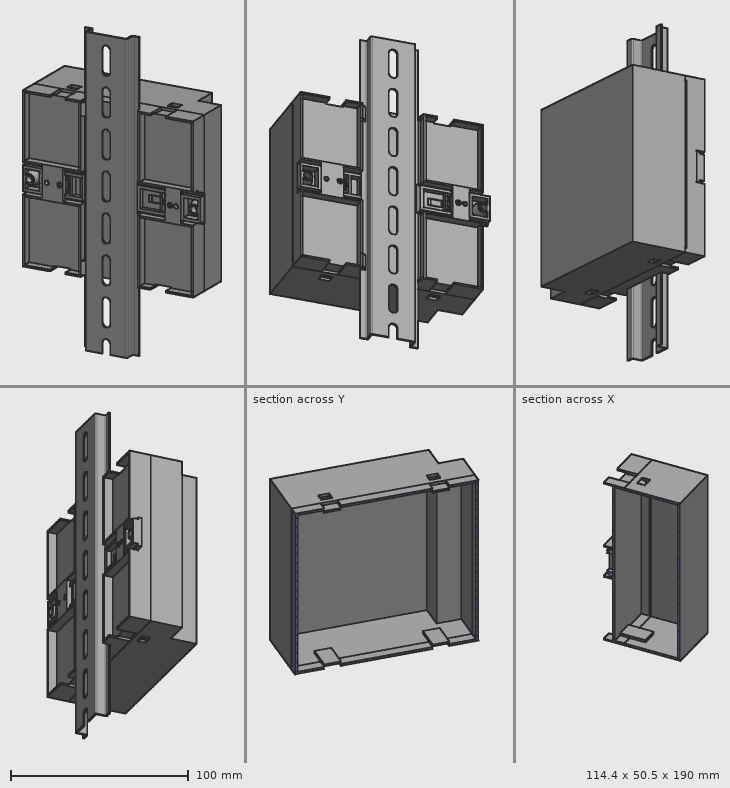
import cadquery as cq
import math


overall_width = 114.4
case_width = 110.0
case_height = 105.0
base_depth = 13.1
case_depth = 48.5
wall = 1.7
step_width = 14.8
step_depth = 16.0
half_width = case_width / 2
half_height = case_height / 2

rail_length = 190
rail_width = 35.0
rail_depth = 7.5
rail_channel_width = 27.0
rail_thickness = 1.0
rail_bend = 0.8
rail_overhang = 2.0
rail_slot_width = 5.22
rail_slot_length = 18.0
rail_slot_count = 8
rail_first_slot = 15.0
rail_slot_pitch = (rail_length - rail_first_slot) / (rail_slot_count - 1)

floor_y = rail_depth - rail_overhang
rim = 1.1
seat_left = -17.7
seat_right = 17.7
seat_right_mouth = 19.2
right_pocket_start = 20.7
band_half = 10.6
channel_half = band_half - rim
hook_reach = 3.0
hook_length = 8.2
hook_tip_y = 2.7
hook_top_y = floor_y - rail_thickness
groove_width = 1.1
groove_depth = 1.1
groove_end_gap = 2.8

snap_offset = 32.5
tongue_width = 10.0
tongue_thickness = 1.5
tongue_top = 23.2
window_width = 6.5
window_bottom = 17.0
window_height = 5.0
catch_width = 4.8
catch_height = 4.5
catch_reach = 1.3

left_strap = (-42.5, -29.0)
right_strap = (36.9, 47.0)
left_strap_holes = (-39.5, -31.4)
right_strap_holes = (44.0, 40.0)
hole_diameter = 2.7
step_bore_diameter = 3.0
step_bore_depth = 1.0
step_hole_diameter = 1.7

slider_rear = 0.28
nose_frame_rear = 1.9
plate_rear = 3.2
plate_half = 9.0
frame_half = 7.8
pocket_half = 5.9
end_window_start = 1.5
end_window_stop = 10.6
eye_offset = 4.0
eye_base_radius = 5.0
eye_top_radius = 3.2
eye_hole_radius = 2.0
spring_thickness = 0.8
left_end = -half_width
left_spring_window = (-29.0, -25.5)
left_nose_window = (-24.0, -18.8)
right_end = overall_width - half_width
right_nose = 16.3
right_nose_rear = 17.9
right_nose_pocket = (20.0, 32.9)
right_pocket_floor = 4.8
right_spring_window = (34.0, 36.9)
tool_slot = (23.8, 32.0)
tool_slot_half = 2.0
tool_ledge_width = 1.7
tool_ledge_depth = 0.4


def block(x0, x1, y0, y1, z0, z1):
    """Axis-aligned block between pairs of coordinates given in any order."""
    size = (abs(x1 - x0), abs(y1 - y0), abs(z1 - z0))
    return cq.Workplane("XY").box(*size).translate(((x0 + x1) / 2, (y0 + y1) / 2, (z0 + z1) / 2))


def prism(points, z0, z1):
    """Outline in X and Y, extruded from z0 to z1."""
    return cq.Workplane("XY").workplane(offset=z0).polyline(points).close().extrude(z1 - z0)


def along_y(x, radius, y0, y1):
    """Round bar parallel to Y on the middle height."""
    return cq.Workplane("XZ", origin=(x, y0, 0)).circle(radius).extrude(y0 - y1)


def make_cover():
    def outline(inset, y0):
        right = half_width - inset
        top = case_depth - inset
        return [
            (-right, y0),
            (right, y0),
            (right, top - step_depth),
            (right - step_width, top - step_depth),
            (right - step_width, top),
            (-right, top),
        ]

    cover = prism(outline(0, base_depth), -half_height, half_height)
    cover = cover.cut(prism(outline(wall, base_depth), -half_height + wall, half_height - wall))
    half = window_width / 2
    window_top = window_bottom + window_height
    for x in (-snap_offset, snap_offset):
        window = block(x - half, x + half, window_bottom, window_top, -half_height, half_height)
        cover = cover.cut(window)
    return cover


def make_tongue(x):
    """Snap tongue on the +Z side, with a sloped catch that enters the cover window."""
    face = half_height - wall
    half = tongue_width / 2
    tongue = block(x - half, x + half, floor_y, tongue_top, face - tongue_thickness, face)
    catch = (
        cq.Workplane("YZ", origin=(x - catch_width / 2, 0, 0))
        .moveTo(window_bottom, face)
        .lineTo(window_bottom, face + catch_reach)
        .lineTo(window_bottom + catch_height, face)
        .close()
        .extrude(catch_width)
    )
    return tongue.union(catch)


def make_strap(strap, holes):
    """Bridge over a slider, with one plain and one stepped hole."""
    plain_x, stepped_x = holes
    bridge = block(*strap, 0, plate_rear, -channel_half, channel_half)
    bridge = bridge.cut(along_y(plain_x, hole_diameter / 2, 0, plate_rear))
    bridge = bridge.cut(along_y(stepped_x, step_hole_diameter / 2, 0, plate_rear))
    return bridge.cut(along_y(stepped_x, step_bore_diameter / 2, 0, step_bore_depth))


def make_base():
    base = block(-half_width, half_width, 0, base_depth, -half_height, half_height)
    inner_x = half_width - wall
    inner_z = half_height - wall
    base = base.cut(block(-inner_x, inner_x, floor_y + wall, base_depth, -inner_z, inner_z))

    end_profile = [(seat_left, 0), (seat_left, floor_y), (seat_right, floor_y), (seat_right_mouth, 0)]
    base = base.cut(prism(end_profile, -half_height, half_height))
    base = base.cut(block(seat_left, seat_right_mouth, 0, floor_y, -inner_z, inner_z))

    for side in (-1, 1):
        z_range = (side * band_half, side * (half_height - rim))
        base = base.cut(block(-half_width + rim, seat_left - rim, 0, floor_y, *z_range))
        base = base.cut(block(right_pocket_start, half_width - rim, 0, floor_y, *z_range))

    for x0, x1 in ((-half_width, seat_left), (seat_right, half_width)):
        base = base.cut(block(x0, x1, 0, floor_y, -channel_half, channel_half))
    base = base.union(make_strap(left_strap, left_strap_holes))
    base = base.union(make_strap(right_strap, right_strap_holes))

    hook = [
        (seat_left, 0),
        (seat_left + hook_reach, hook_tip_y),
        (seat_left + hook_reach, hook_top_y),
        (seat_left, hook_top_y),
    ]
    hook_end = half_height - rim
    base = base.union(prism(hook, hook_end - hook_length, hook_end))
    base = base.union(prism(hook, -hook_end, hook_length - hook_end))

    for x in (-snap_offset, snap_offset):
        half = tongue_width / 2
        for side in (-1, 1):
            face = side * (half_height - wall)
            base = base.cut(block(x - half, x + half, 0, base_depth, face, side * half_height))
        tongue = make_tongue(x)
        base = base.union(tongue).union(tongue.mirror("XY"))

    groove_half = half_height - groove_end_gap
    groove_x = (-half_width, groove_depth - half_width)
    groove_y = (base_depth - groove_width, base_depth)
    return base.cut(block(*groove_x, *groove_y, -groove_half, groove_half))


def make_rail():
    rear = -rail_overhang
    flange_rear = floor_y - rail_thickness
    web_front = rear + rail_thickness
    outer = rail_channel_width / 2
    inner = outer - rail_thickness
    edge = rail_width / 2
    right_half = [
        (outer, rear),
        (outer, flange_rear),
        (edge, flange_rear),
        (edge, floor_y),
        (inner, floor_y),
        (inner, web_front),
    ]
    left_half = [(-x, y) for x, y in reversed(right_half)]
    rail = prism(right_half + left_half, -rail_length / 2, rail_length / 2)
    bends = [(side * outer, y) for side in (-1, 1) for y in (rear, flange_rear)]
    bends += [(side * inner, y) for side in (-1, 1) for y in (web_front, floor_y)]
    for x, y in bends:
        rail = rail.edges(cq.selectors.NearestToPointSelector((x, y, 0))).fillet(rail_bend)
    slots = (
        cq.Workplane("XZ", origin=(0, web_front, 0))
        .pushPoints([(0, i * rail_slot_pitch - rail_length / 2) for i in range(rail_slot_count)])
        .slot2D(rail_slot_length, rail_slot_width, 90)
        .extrude(rail_thickness)
    )
    return rail.cut(slots)


def slider_blank(end, nose, strap):
    """Plate from the outer end to the nose, with raised frames on both sides of the strap."""
    slider = block(end, nose, plate_rear, floor_y, -plate_half, plate_half)
    end_frame = block(end, max(strap, key=abs), slider_rear, plate_rear, -frame_half, frame_half)
    nose_frame = block(min(strap, key=abs), nose, nose_frame_rear, plate_rear, -frame_half, frame_half)
    slider = slider.union(end_frame).union(nose_frame)
    return slider


def cut_windows(slider, end, spring_window):
    """Open the end window with its eye, and the window with its leaf spring."""
    inward = -math.copysign(1, end)
    window_x = (end + inward * end_window_start, end + inward * end_window_stop)
    window = block(*window_x, slider_rear, floor_y, -pocket_half, pocket_half)
    eye_x = end + inward * eye_offset
    eye = (
        cq.Workplane("XZ", origin=(eye_x, floor_y, 0))
        .circle(eye_base_radius)
        .workplane(offset=floor_y - slider_rear)
        .circle(eye_top_radius)
        .loft()
    )
    slider = slider.cut(window).union(eye.intersect(window))
    slider = slider.cut(along_y(eye_x, eye_hole_radius, slider_rear, floor_y))

    near, far = spring_window
    if end > 0:
        near, far = far, near
    leaf = [
        (near, pocket_half),
        (far, spring_thickness),
        (far, -spring_thickness),
        (near, -pocket_half),
        (near, 2 * spring_thickness - pocket_half),
        (far + (near - far) / 4, 0),
        (near, pocket_half - 2 * spring_thickness),
    ]
    leaf_plane = cq.Workplane("XZ", origin=(0, plate_rear, 0))
    spring = leaf_plane.polyline(leaf).close().extrude(plate_rear - floor_y)
    return slider.cut(block(*spring_window, slider_rear, floor_y, -pocket_half, pocket_half)).union(spring)


def make_left_slider():
    slider = slider_blank(left_end, seat_left, left_strap)
    slider = cut_windows(slider, left_end, left_spring_window)
    return slider.cut(block(*left_nose_window, slider_rear, floor_y, -pocket_half, pocket_half))


def make_right_slider():
    slider = slider_blank(right_end, right_nose_rear, right_strap)
    flange_rear = floor_y - rail_thickness
    nose = [(right_nose_rear, nose_frame_rear), (right_nose_rear, flange_rear), (right_nose, flange_rear)]
    slider = slider.union(prism(nose, -plate_half, plate_half))
    slider = cut_windows(slider, right_end, right_spring_window)
    pocket = block(*right_nose_pocket, slider_rear, right_pocket_floor, -pocket_half, pocket_half)
    slider = slider.cut(pocket)

    slot_start, slot_stop = tool_slot
    ledge_stop = slot_start + tool_ledge_width
    ledge_floor = right_pocket_floor + tool_ledge_depth
    slot_half = tool_slot_half
    slider = slider.cut(block(slot_start, ledge_stop, right_pocket_floor, ledge_floor, -slot_half, slot_half))
    return slider.cut(block(ledge_stop, slot_stop, right_pocket_floor, floor_y, -slot_half, slot_half))


cover = make_cover().solids()
base = make_base().solids()
rail = make_rail().solids()
left_slider = make_left_slider().solids()
right_slider = make_right_slider().solids()

result = cq.Compound.makeCompound(
    [cover.val(), base.val(), rail.val(), left_slider.val(), right_slider.val()]
)